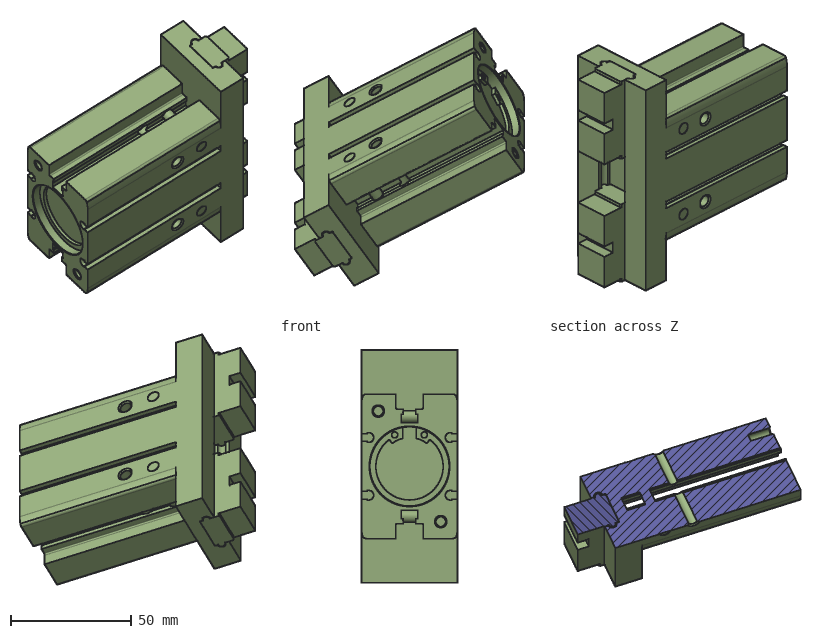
import cadquery as cq
import math


WIDTH = 40.0
BODY_LENGTH = 71.0
BODY_HEIGHT = 60.0
FLANGE_THICKNESS = 12.0
FLANGE_HEIGHT = 97.0
FLANGE_END = BODY_LENGTH + FLANGE_THICKNESS

CORNER_SIDE_DROP = 4.5
CORNER_SIDE_INSET = 0.6
CORNER_SIDE_RADIUS = 12.0
CORNER_TOP_DROP = 0.75
CORNER_TOP_INSET = 1.9
CORNER_TOP_RADIUS = 1.5

CHANNEL_WIDTH = 11.4
CHANNEL_DEPTH = 6.15
CHANNEL_FILLET = 0.6
NECK_WIDTH = 5.2
NECK_DEPTH = 8.25
T_SLOT_WIDTH = 6.7
T_SLOT_DEPTH = 11.75

SENSOR_GROOVE_Z = 12.0
SENSOR_GROOVE_MOUTH = 3.2
SENSOR_GROOVE_MOUTH_DEPTH = 2.4
SENSOR_GROOVE_WIDTH = 4.0
SENSOR_GROOVE_DEPTH = 5.1

PIN_DIAMETER = 5.0
PIN_Y = 60.75
PIN_Z = BODY_HEIGHT / 2 - T_SLOT_DEPTH + PIN_DIAMETER / 2
PIN_RECESS = 0.1
CROSS_HOLE_DIAMETER = 4.92
CROSS_HOLE_MOUTH = 6.2
CROSS_HOLE_Y = 48.0
CROSS_HOLE_Z = 20.0

PORT_DIAMETER = 4.13
PORT_MOUTH = 5.0
PORT_DEPTH = 10.0
PORT_X = 13.0
PORT_Z = 23.0

BORE_DIAMETER = 33.0
BORE_CHAMFER = 0.25
RING_DEPTH = 3.75
RING_THICKNESS = 1.5
RING_INNER_DIAMETER = 28.0
RING_GAP = 5.8
LUG_INNER_RADIUS = 12.0
LUG_END_ANGLE = 37.0
LUG_HOLE_DIAMETER = 2.5
LUG_HOLE_X = 6.15
LUG_HOLE_Z = 13.1

RAIL_WIDTH = 15.5
RAIL_BOTTOM = 76.6
RAIL_TOP = 85.4
RAIL_LENGTH = 37.5
RAIL_CHAMFER = 0.5
RIB_Y = 79.6
RIB_RADIUS = 1.5
RIB_CLEARANCE = 0.3
JAW_END = 95.0
JAW_BLOCK_LENGTH = 34.6
JAW_SLOT_WIDTH = 5.0
JAW_SLOT_DEPTH = 5.0
JAW_Z = (FLANGE_HEIGHT - RAIL_LENGTH) / 2


def y_box(width, height, start, end, x=0.0, z=0.0):
    """Box from Y = start to Y = end, centred on (x, z)."""
    return cq.Workplane("XY").box(width, end - start, height).translate((x, (start + end) / 2, z))


def y_cylinder(diameter, start, end, x=0.0, z=0.0):
    """Cylinder along Y from start to end."""
    plane = cq.Workplane("XZ", origin=(x, start, z))
    return plane.circle(diameter / 2).extrude(start - end)


def x_cylinder(diameter, length, y, z):
    """Cylinder along X, centred on X = 0."""
    plane = cq.Workplane("YZ", origin=(-length / 2, y, z))
    return plane.circle(diameter / 2).extrude(length)


def y_countersink(mouth, diameter, x=0.0, z=0.0):
    """45 degree entry cone in the rear face, narrowing from mouth to diameter."""
    depth = (mouth - diameter) / 2
    cone = cq.Solid.makeCone(mouth / 2, diameter / 2, depth, cq.Vector(x, 0, z), cq.Vector(0, 1, 0))
    return cq.Workplane(cone)


def corner_relief():
    """Material removed from the body corner at +X, +Z."""
    side = WIDTH / 2
    top = BODY_HEIGHT / 2
    return (
        cq.Workplane("XZ")
        .moveTo(side, top - CORNER_SIDE_DROP)
        .radiusArc((side - CORNER_SIDE_INSET, top - CORNER_TOP_DROP), -CORNER_SIDE_RADIUS)
        .radiusArc((side - CORNER_TOP_INSET, top), -CORNER_TOP_RADIUS)
        .lineTo(side, top)
        .close()
        .extrude(-BODY_LENGTH)
    )


def top_slot():
    """Stepped slot along the top of the body."""
    top = BODY_HEIGHT / 2
    channel = y_box(CHANNEL_WIDTH, CHANNEL_DEPTH, 0, BODY_LENGTH, z=top - CHANNEL_DEPTH / 2)
    channel = channel.edges("|Y and <Z").fillet(CHANNEL_FILLET)
    neck = y_box(NECK_WIDTH, NECK_DEPTH, 0, BODY_LENGTH, z=top - NECK_DEPTH / 2)
    t_height = T_SLOT_DEPTH - NECK_DEPTH
    t_slot = y_box(T_SLOT_WIDTH, t_height, 0, BODY_LENGTH, z=top - T_SLOT_DEPTH + t_height / 2)
    return channel.union(neck).union(t_slot)


def sensor_groove():
    """Groove in the +X side: a narrow mouth opening into a wider channel with a round floor."""
    side = WIDTH / 2
    step_x = side - SENSOR_GROOVE_MOUTH_DEPTH
    round_x = side - SENSOR_GROOVE_DEPTH + SENSOR_GROOVE_WIDTH / 2
    half_mouth = SENSOR_GROOVE_MOUTH / 2
    half_width = SENSOR_GROOVE_WIDTH / 2
    return (
        cq.Workplane("XZ", origin=(0, 0, SENSOR_GROOVE_Z))
        .moveTo(side, -half_mouth)
        .lineTo(step_x, -half_mouth)
        .lineTo(step_x, -half_width)
        .lineTo(round_x, -half_width)
        .threePointArc((side - SENSOR_GROOVE_DEPTH, 0), (round_x, half_width))
        .lineTo(step_x, half_width)
        .lineTo(step_x, half_mouth)
        .lineTo(side, half_mouth)
        .close()
        .extrude(-BODY_LENGTH)
    )


def cross_hole(z):
    """Hole through the body along X, countersunk at both ends."""
    hole = x_cylinder(CROSS_HOLE_DIAMETER, WIDTH, CROSS_HOLE_Y, z)
    depth = (CROSS_HOLE_MOUTH - CROSS_HOLE_DIAMETER) / 2
    for side in (-1, 1):
        cone = cq.Solid.makeCone(
            CROSS_HOLE_MOUTH / 2,
            CROSS_HOLE_DIAMETER / 2,
            depth,
            cq.Vector(side * WIDTH / 2, CROSS_HOLE_Y, z),
            cq.Vector(-side, 0, 0),
        )
        hole = hole.union(cq.Workplane(cone))
    return hole


def rail_groove():
    """Groove across the flange in which both jaws slide."""
    groove = y_box(RAIL_WIDTH, FLANGE_HEIGHT, RAIL_BOTTOM, FLANGE_END)
    for side in (-1, 1):
        groove = groove.union(rail_rib(side, RIB_RADIUS + RIB_CLEARANCE, FLANGE_HEIGHT))
    return groove


def rail_rib(side, radius, length):
    """Round rib along Z, centred on a rail side."""
    plane = cq.Workplane("XY", origin=(side * RAIL_WIDTH / 2, RIB_Y, -length / 2))
    return plane.circle(radius).extrude(length)


def ring_opening():
    """Opening of the retaining ring, down to the cover: bore, lugs, gap and lug holes."""
    start = RING_DEPTH
    end = RING_DEPTH + RING_THICKNESS
    opening = y_cylinder(RING_INNER_DIAMETER, start, end)
    angle = math.radians(LUG_END_ANGLE)
    reach_x = BORE_DIAMETER * math.sin(angle)
    reach_z = BORE_DIAMETER * math.cos(angle)
    sector = (
        cq.Workplane("XZ", origin=(0, start, 0))
        .polyline([(0, 0), (-reach_x, reach_z), (reach_x, reach_z)])
        .close()
        .extrude(start - end)
    )
    lugs = y_cylinder(RING_INNER_DIAMETER, start, end).cut(y_cylinder(2 * LUG_INNER_RADIUS, start, end))
    opening = opening.cut(lugs.intersect(sector))
    gap_height = BORE_DIAMETER / 2
    gap = y_box(RING_GAP, gap_height, start, end, z=gap_height / 2)
    opening = opening.union(gap.intersect(y_cylinder(BORE_DIAMETER, start, end)))
    for side in (-1, 1):
        opening = opening.union(y_cylinder(LUG_HOLE_DIAMETER, start, end, side * LUG_HOLE_X, LUG_HOLE_Z))
    return opening


def make_housing():
    body = y_box(WIDTH, BODY_HEIGHT, 0, BODY_LENGTH)

    relief = corner_relief()
    groove = sensor_groove()
    for feature in (relief, groove):
        feature = feature.union(feature.mirror("YZ"))
        body = body.cut(feature).cut(feature.mirror("XY"))

    slot = top_slot()
    body = body.cut(slot).cut(slot.mirror("XY"))

    for side in (-1, 1):
        pin_z = side * PIN_Z
        body = body.cut(x_cylinder(PIN_DIAMETER, WIDTH, PIN_Y, pin_z))
        body = body.union(x_cylinder(PIN_DIAMETER, WIDTH - 2 * PIN_RECESS, PIN_Y, pin_z))
        body = body.cut(cross_hole(side * CROSS_HOLE_Z))

        port_x = side * PORT_X
        port_z = -side * PORT_Z
        body = body.cut(y_cylinder(PORT_DIAMETER, 0, PORT_DEPTH, port_x, port_z))
        body = body.cut(y_countersink(PORT_MOUTH, PORT_DIAMETER, port_x, port_z))

    body = body.cut(y_cylinder(BORE_DIAMETER, 0, RING_DEPTH))
    body = body.cut(y_countersink(BORE_DIAMETER + 2 * BORE_CHAMFER, BORE_DIAMETER))
    body = body.cut(ring_opening())

    flange = y_box(WIDTH, FLANGE_HEIGHT, BODY_LENGTH, FLANGE_END).cut(rail_groove())
    return body.union(flange)


def make_jaw(z):
    rail = y_box(RAIL_WIDTH, RAIL_LENGTH, RAIL_BOTTOM, RAIL_TOP)
    rail = rail.edges("|Z").chamfer(RAIL_CHAMFER)
    for side in (-1, 1):
        rail = rail.union(rail_rib(side, RIB_RADIUS, RAIL_LENGTH))
    block = y_box(RAIL_WIDTH, JAW_BLOCK_LENGTH, FLANGE_END, JAW_END)
    slot = y_box(RAIL_WIDTH, JAW_SLOT_WIDTH, JAW_END - JAW_SLOT_DEPTH, JAW_END)
    return rail.union(block).cut(slot).translate((0, 0, z))


housing = make_housing()
jaws = [make_jaw(side * JAW_Z) for side in (-1, 1)]

result = cq.Compound.makeCompound([housing.val(), *[jaw.val() for jaw in jaws]])